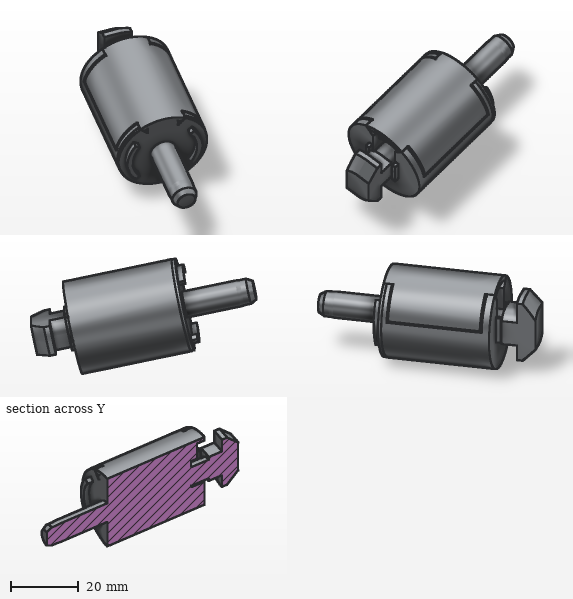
import cadquery as cq
import math

length = 66.8

head_half_width = 4.35
head_radius = 9.75
head_nose_radius = 5.75
head_rim_x = 3.9
head_back_x = 5.7
neck_radius = 5.0
neck_end_x = 10.3

body_diameter = 28.0
body_radius = body_diameter / 2
body_start_x = 11.75
body_length = 33.95
body_end_x = body_start_x + body_length
end_step_radius = 13.9
end_step_length = 1.0

cover_thickness = 1.6
cover_inner_radius = body_radius - cover_thickness
cover_half_width = 7.1
cover_seam = 0.1
wing_front_x = body_start_x + 2.95
wing_back_x = body_end_x - 3.0
wing_bottom_z = 2.95
wing_gap = 0.435
wing_front_gap = 0.6

channel_floor_z = 9.15
slot_half_width = 4.3
slot_depth = 4.6
block_half_width = 4.75
block_setback = 2.55
block_bottom_z = 5.1
block_arch_radius = 6.2

plate_inner_y = 4.55
plate_outer_y = 5.75

lug_inner_radius = 10.1
lug_outer_radius = 11.75
lug_half_angle = 38.8
lug_length = 1.9

shaft_radius = 3.95
shaft_end_x = 61.9
tip_radius = 3.8
tip_start_x = 63.2
tip_chamfer_x = 65.0
tip_end_radius = 2.8


def box(x_range, y_range, z_range):
    """Box between the given limits on each axis."""
    (x0, x1), (y0, y1), (z0, z1) = x_range, y_range, z_range
    return cq.Workplane("XY").box(x1 - x0, y1 - y0, z1 - z0, centered=False).translate((x0, y0, z0))


def across(x):
    """Workplane across the axis at x, with local axes Y and Z."""
    return cq.Workplane("YZ", origin=(x, 0, 0))


def revolved(profile):
    """Solid of revolution about X from (x, radius) points, closed along the axis."""
    outline = [(profile[0][0], 0), *profile, (profile[-1][0], 0)]
    return cq.Workplane("XY").polyline(outline).close().revolve(360, (0, 0, 0), (1, 0, 0))


def channel_prism(seam):
    """Flaring prism along the body, narrowed by the seam on each side."""
    edge_z = math.sqrt(body_radius**2 - cover_half_width**2)
    slope = (cover_half_width - slot_half_width) / (edge_z - channel_floor_z)
    top_z = body_radius
    top_half_width = slot_half_width + slope * (top_z - channel_floor_z) - seam
    floor_half_width = slot_half_width - seam
    return (
        across(body_start_x)
        .polyline([
            (-floor_half_width, channel_floor_z),
            (floor_half_width, channel_floor_z),
            (top_half_width, top_z),
            (-top_half_width, top_z),
        ])
        .close()
        .extrude(body_length)
    )


def wing_zone(x0, x1, bottom_z):
    """Box over the full body width from the wing bottom upwards."""
    return box((x0, x1), (-body_radius, body_radius), (bottom_z, body_radius))


def turn_stop(profile):
    """Flat-sided turned shape with two opposite corners left square, so it turns one way only."""
    start_x, end_x = profile[0][0], profile[-1][0]
    reach = profile[-1][1]
    width = (-head_half_width, head_half_width)
    rounded = revolved(profile).intersect(box((start_x, end_x), width, (-reach, reach)))
    side_outline = profile + [(x, -z) for x, z in reversed(profile)]
    square = (
        cq.Workplane("XZ", origin=(0, head_half_width, 0))
        .polyline(side_outline)
        .close()
        .extrude(2 * head_half_width)
    )
    upper_corner = box((start_x, end_x), (-head_half_width, 0), (0, reach))
    lower_corner = box((start_x, end_x), (0, head_half_width), (-reach, 0))
    return rounded.union(square.intersect(upper_corner.union(lower_corner)))


def make_head():
    """T-shaped clamping head with its narrower neck."""
    head = turn_stop([
        (0, head_nose_radius),
        (head_rim_x, head_radius),
        (head_back_x, head_radius),
    ])
    neck = turn_stop([(head_back_x, neck_radius), (neck_end_x, neck_radius)])
    return head.union(neck)


def make_body():
    """Cylinder with a stepped back end, carrying the slot, channel and cover."""
    step_x = body_end_x - end_step_length
    body = revolved([
        (body_start_x, body_radius),
        (step_x, body_radius),
        (step_x, end_step_radius),
        (body_end_x, end_step_radius),
    ])
    shell = across(body_start_x).circle(body_radius).circle(cover_inner_radius).extrude(body_length)
    channel = channel_prism(0)
    recess_zone = wing_zone(wing_front_x - wing_front_gap, wing_back_x + wing_gap, wing_bottom_z - wing_gap)
    cover_zone = channel_prism(cover_seam).union(wing_zone(wing_front_x, wing_back_x, wing_bottom_z))
    slot = (
        across(body_start_x)
        .moveTo(-slot_half_width, channel_floor_z)
        .lineTo(-slot_half_width, 0)
        .threePointArc((0, -slot_half_width), (slot_half_width, 0))
        .lineTo(slot_half_width, channel_floor_z)
        .close()
        .extrude(slot_depth)
    )
    block_top_z = math.sqrt(cover_inner_radius**2 - block_half_width**2)
    block = (
        across(body_start_x + block_setback)
        .moveTo(-block_half_width, block_bottom_z)
        .lineTo(block_half_width, block_bottom_z)
        .lineTo(block_half_width, block_top_z)
        .threePointArc((0, cover_inner_radius), (-block_half_width, block_top_z))
        .close()
        .extrude(body_length - block_setback)
    )
    block = block.cut(across(body_start_x).circle(block_arch_radius).extrude(body_length))
    recess = shell.intersect(recess_zone)
    cover = shell.intersect(cover_zone)
    return body.cut(channel).cut(recess).cut(slot).union(block).union(cover)


def make_guide_plate(side):
    """Flat plate on the front face, beside the shaft."""
    y_range = sorted((side * plate_inner_y, side * plate_outer_y))
    return box((neck_end_x, body_start_x), y_range, (-shaft_radius, shaft_radius))


def make_lug(side):
    """Ring segment on the back face, centred on the Y axis."""
    def point(radius, angle):
        turn = math.radians(angle)
        return (side * radius * math.cos(turn), radius * math.sin(turn))

    return (
        across(body_end_x)
        .moveTo(*point(lug_outer_radius, -lug_half_angle))
        .threePointArc(point(lug_outer_radius, 0), point(lug_outer_radius, lug_half_angle))
        .lineTo(*point(lug_inner_radius, lug_half_angle))
        .threePointArc(point(lug_inner_radius, 0), point(lug_inner_radius, -lug_half_angle))
        .close()
        .extrude(lug_length)
    )


def make_shaft():
    """Shaft from the neck through the body, with a tapered pin tip."""
    return revolved([
        (neck_end_x, shaft_radius),
        (shaft_end_x, shaft_radius),
        (tip_start_x, tip_radius),
        (tip_chamfer_x, tip_radius),
        (length, tip_end_radius),
    ])


result = make_body().union(make_shaft()).union(make_head())
for side in (-1, 1):
    result = result.union(make_guide_plate(side)).union(make_lug(side))